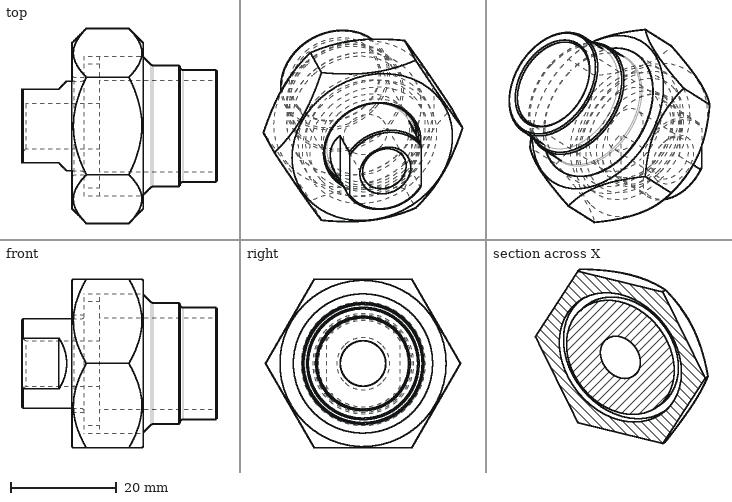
import cadquery as cq
import math


overall_length = 37.0
nut_start = 9.5
nut_end = 23.0
lip_thickness = 2.2
flange_thickness = 3.0
flange_start = nut_start + lip_thickness
joint_face = flange_start + flange_thickness
thread_recess = 0.1
thread_end = nut_end - thread_recess
weld_end_start = 30.0

tail_diameter = 17.0
tail_bore_diameter = 8.57
tail_bore_mouth_diameter = 10.0
tail_end_chamfer = 0.3
flange_diameter = 23.5
flange_root_fillet = 0.4
flats_width = 14.0
flats_length = 7.0

nut_across_flats = 32.0
nut_across_corners = nut_across_flats / math.cos(math.radians(30))
nut_face_diameter = 31.5
lip_bore_diameter = 18.5
lip_bore_chamfer = 0.3
thread_diameter = 26.4

collar_diameter = 23.0
weld_end_diameter = 21.3
body_bore_diameter = 17.3
cone_length = (thread_diameter - collar_diameter) / 2
cone_root_fillet = 0.5
collar_edge_chamfer = 0.3
collar_root_fillet = 0.45
weld_end_chamfer = 0.3


def disc(start, end, diameter):
    """Cylinder about the X axis between two X positions."""
    return cq.Workplane("YZ").workplane(offset=start).circle(diameter / 2).extrude(end - start)


def revolve_about_x(outline):
    """Turn a closed (x, radius) outline about the X axis."""
    return outline.close().revolve(360, (0, 0, 0), (1, 0, 0))


def circle_edges_at(x, diameter):
    """Selector for the circular edge of one diameter centred at one X position."""
    tolerance = 0.01
    reach = diameter / 2 + tolerance
    return cq.selectors.BoxSelector(
        (x - tolerance, -reach, -reach), (x + tolerance, reach, reach), boundingbox=True
    )


def make_tail():
    """Round tail with a flange, two wrench flats and a chamfered through bore."""
    tail = disc(0, joint_face, tail_diameter).faces("<X").chamfer(tail_end_chamfer)
    tail = tail.union(disc(flange_start, joint_face, flange_diameter))
    tail = tail.edges(circle_edges_at(flange_start, tail_diameter)).fillet(flange_root_fillet)

    flat_offset = flats_width / 2
    cut_offset = tail_diameter / 2
    runout = cut_offset - flat_offset
    for side in (-1, 1):
        flat_cut = (
            cq.Workplane("XY")
            .moveTo(0, side * flat_offset)
            .lineTo(flats_length, side * flat_offset)
            .lineTo(flats_length + runout, side * cut_offset)
            .lineTo(0, side * cut_offset)
            .close()
            .extrude(cut_offset, both=True)
        )
        tail = tail.cut(flat_cut)

    mouth_chamfer = (tail_bore_mouth_diameter - tail_bore_diameter) / 2
    tail = tail.cut(disc(0, joint_face, tail_bore_diameter))
    return tail.edges(circle_edges_at(0, tail_bore_diameter)).chamfer(mouth_chamfer)


def make_nut():
    """Hex nut with 45 degree corner chamfers, a lip bore and a thread bore."""
    hexagon = (
        cq.Workplane("YZ")
        .workplane(offset=nut_start)
        .polygon(6, nut_across_corners)
        .extrude(nut_end - nut_start)
    )
    corner_chamfer = (nut_across_corners - nut_face_diameter) / 2
    corner_envelope = disc(nut_start, nut_end, nut_across_corners).faces("<X or >X").chamfer(corner_chamfer)
    nut = hexagon.intersect(corner_envelope)
    nut = nut.cut(disc(nut_start, flange_start, lip_bore_diameter))
    nut = nut.cut(disc(flange_start, nut_end, thread_diameter))
    return nut.edges(circle_edges_at(nut_start, lip_bore_diameter)).chamfer(lip_bore_chamfer)


def make_body():
    """Threaded shank tapering to a collar and a smaller weld end, bored through."""
    collar_start = thread_end + cone_length
    body = revolve_about_x(
        cq.Workplane("XY")
        .moveTo(joint_face, body_bore_diameter / 2)
        .lineTo(joint_face, thread_diameter / 2)
        .lineTo(thread_end, thread_diameter / 2)
        .lineTo(collar_start, collar_diameter / 2)
        .lineTo(weld_end_start, collar_diameter / 2)
        .lineTo(weld_end_start, weld_end_diameter / 2)
        .lineTo(overall_length, weld_end_diameter / 2)
        .lineTo(overall_length, body_bore_diameter / 2)
    )
    body = body.edges(circle_edges_at(collar_start, collar_diameter)).fillet(cone_root_fillet)
    body = body.edges(circle_edges_at(weld_end_start, weld_end_diameter)).fillet(collar_root_fillet)
    body = body.edges(circle_edges_at(overall_length, weld_end_diameter)).chamfer(weld_end_chamfer)
    return body.edges(circle_edges_at(weld_end_start, collar_diameter)).chamfer(collar_edge_chamfer)


tail = make_tail()
nut = make_nut()
body = make_body()

result = cq.Compound.makeCompound([tail.val(), nut.val(), body.val()])